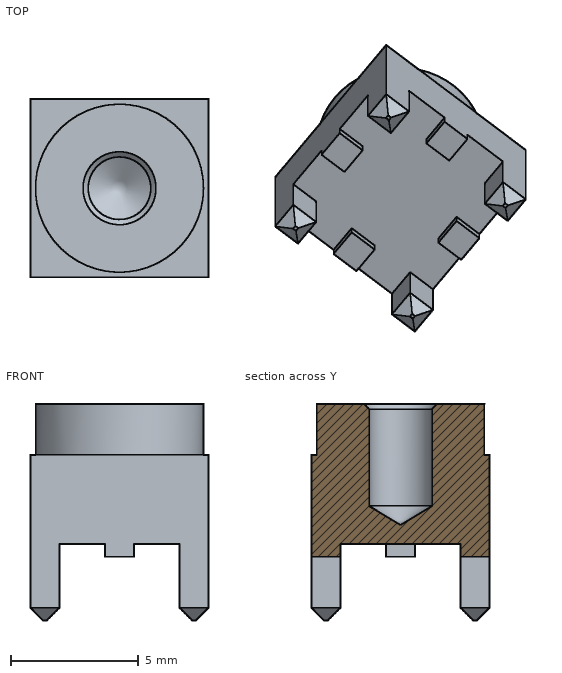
import cadquery as cq
import math

body_side = 7.0
body_height = 3.5

collar_diameter = 6.6
collar_height = 2.0

hole_diameter = 2.46
hole_depth = 4.0
mouth_chamfer = 0.2
drill_point_angle = 118

leg_side = 1.15
leg_tip_side = 0.145
leg_tip_height = 0.5
leg_length = 8.5 - body_height - collar_height
leg_shaft_length = leg_length - leg_tip_height

pad_side = leg_side
pad_height = 0.5

collar_top = body_height + collar_height
edge_center = (body_side - leg_side) / 2


def make_housing():
    body = cq.Workplane("XY").rect(body_side, body_side).extrude(body_height)
    return body.faces(">Z").workplane().circle(collar_diameter / 2).extrude(collar_height)


def make_hole():
    """Revolved cutter: chamfered mouth, straight bore and drill-point cone."""
    radius = hole_diameter / 2
    bore_bottom = collar_top - hole_depth
    cone_height = radius / math.tan(math.radians(drill_point_angle / 2))
    profile = (
        cq.Workplane("XZ")
        .moveTo(0, collar_top)
        .lineTo(radius + mouth_chamfer, collar_top)
        .lineTo(radius, collar_top - mouth_chamfer)
        .lineTo(radius, bore_bottom)
        .lineTo(0, bore_bottom - cone_height)
        .close()
    )
    return profile.revolve(360, (0, 0, 0), (0, 1, 0))


def make_leg(x, y):
    shaft = cq.Workplane("XY").rect(leg_side, leg_side).extrude(-leg_shaft_length)
    tip = (
        cq.Workplane("XY", origin=(0, 0, -leg_shaft_length))
        .rect(leg_side, leg_side)
        .workplane(offset=-leg_tip_height)
        .rect(leg_tip_side, leg_tip_side)
        .loft(ruled=True)
    )
    return shaft.union(tip).translate((x, y, 0))


def make_pad(x, y):
    return cq.Workplane("XY").center(x, y).rect(pad_side, pad_side).extrude(-pad_height)


result = make_housing().cut(make_hole())

for x_sign in (-1, 1):
    for y_sign in (-1, 1):
        result = result.union(make_leg(x_sign * edge_center, y_sign * edge_center))

for x_dir, y_dir in ((1, 0), (-1, 0), (0, 1), (0, -1)):
    result = result.union(make_pad(x_dir * edge_center, y_dir * edge_center))